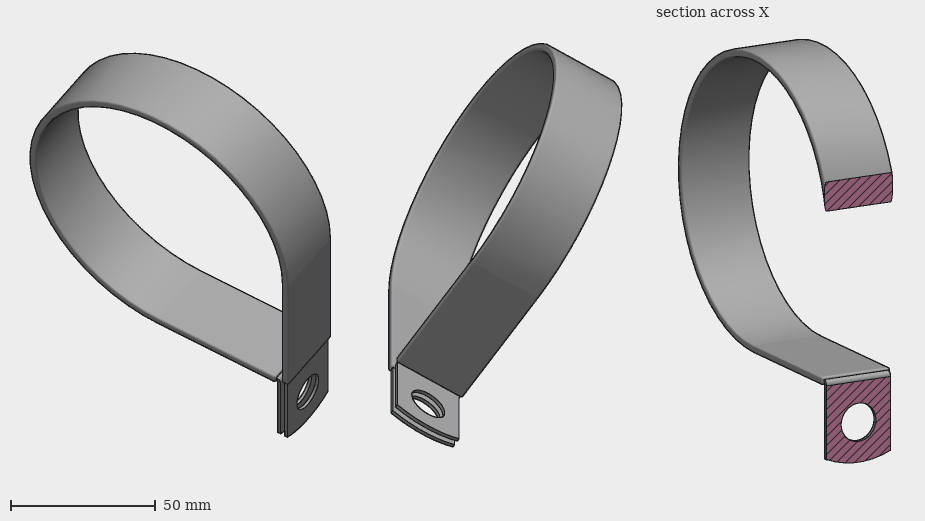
import cadquery as cq
import math

outer_radius = 53.605
strip_thickness = 1.19
strip_width = 25.4
cushion = 0.795
edge_round = 0.79
upright_cushion_end = 51.6
foot_cushion_end = 48.25
inner_tab_face = 49.96
bend_outer_radius = 1.8
tab_bottom = 82.525
tab_end_radius = 31.75
hole_diameter = 13.5
hole_depth = 68.15

band_thickness = strip_thickness + 2 * cushion
inner_radius = outer_radius - band_thickness
band_width = strip_width + 2 * cushion
strip_inner_radius = inner_radius + cushion
strip_outer_radius = strip_inner_radius + strip_thickness
bend_inner_radius = bend_outer_radius - strip_thickness


def extrude_centred(sketch, width):
    """Extrude an XZ outline symmetrically about the Y = 0 plane."""
    return sketch.extrude(width / 2, both=True)


def cushion_loop():
    """Three-quarter ring with a straight foot along +X and a straight upright along -Z."""
    outside_mid = outer_radius * math.sqrt(0.5)
    inside_mid = inner_radius * math.sqrt(0.5)
    outline = (
        cq.Workplane("XZ")
        .moveTo(foot_cushion_end, -outer_radius)
        .lineTo(0, -outer_radius)
        .threePointArc((-outside_mid, outside_mid), (outer_radius, 0))
        .lineTo(outer_radius, -upright_cushion_end)
        .lineTo(inner_radius, -upright_cushion_end)
        .lineTo(inner_radius, 0)
        .threePointArc((-inside_mid, inside_mid), (0, -inner_radius))
        .lineTo(foot_cushion_end, -inner_radius)
        .close()
    )
    return extrude_centred(outline, band_width)


def cushion_body():
    """Cushion envelope with its side edges and end edges rounded."""
    body = cushion_loop()
    rounded_edges = body.faces("<Y or >Y").edges()
    foot_corners = [(foot_cushion_end, 0, -inner_radius), (foot_cushion_end, 0, -outer_radius)]
    upright_corners = [(inner_radius, 0, -upright_cushion_end), (outer_radius, 0, -upright_cushion_end)]
    for corner in foot_corners + upright_corners:
        rounded_edges = rounded_edges.add(body.edges(cq.selectors.NearestToPointSelector(corner)))
    return rounded_edges.fillet(edge_round)


def round_tab_end(tab):
    """Trim the lower end of a tab to a shallow arc that touches the bottom of the part."""
    half_width = strip_width / 2
    arc_rise = tab_end_radius - math.sqrt(tab_end_radius**2 - half_width**2)
    trim = (
        cq.Workplane("YZ")
        .moveTo(-half_width, arc_rise - tab_bottom)
        .threePointArc((0, -tab_bottom), (half_width, arc_rise - tab_bottom))
        .lineTo(half_width, -tab_bottom - arc_rise)
        .lineTo(-half_width, -tab_bottom - arc_rise)
        .close()
        .extrude(outer_radius)
    )
    return tab.cut(trim)


def bent_tab():
    """Strip leaving the foot and bending down into the inner tab."""
    bend_x = inner_tab_face - bend_outer_radius
    bend_z = -strip_inner_radius - bend_outer_radius
    diagonal = math.sqrt(0.5)
    back_face = inner_tab_face - strip_thickness
    outline = (
        cq.Workplane("XZ")
        .moveTo(0, -strip_inner_radius)
        .lineTo(bend_x, -strip_inner_radius)
        .threePointArc(
            (bend_x + bend_outer_radius * diagonal, bend_z + bend_outer_radius * diagonal),
            (inner_tab_face, bend_z),
        )
        .lineTo(inner_tab_face, -tab_bottom)
        .lineTo(back_face, -tab_bottom)
        .lineTo(back_face, bend_z)
        .threePointArc(
            (bend_x + bend_inner_radius * diagonal, bend_z + bend_inner_radius * diagonal),
            (bend_x, -strip_outer_radius),
        )
        .lineTo(0, -strip_outer_radius)
        .close()
    )
    return round_tab_end(extrude_centred(outline, strip_width))


def upright_tab():
    """Strip running straight down out of the upright."""
    outline = (
        cq.Workplane("XZ")
        .moveTo(strip_inner_radius, 0)
        .lineTo(strip_outer_radius, 0)
        .lineTo(strip_outer_radius, -tab_bottom)
        .lineTo(strip_inner_radius, -tab_bottom)
        .close()
    )
    return round_tab_end(extrude_centred(outline, strip_width))


def tab_holes():
    """Bolt hole through both tabs."""
    return (
        cq.Workplane("YZ")
        .center(0, -hole_depth)
        .circle(hole_diameter / 2)
        .extrude(outer_radius)
    )


result = cushion_body().union(bent_tab()).union(upright_tab()).cut(tab_holes())